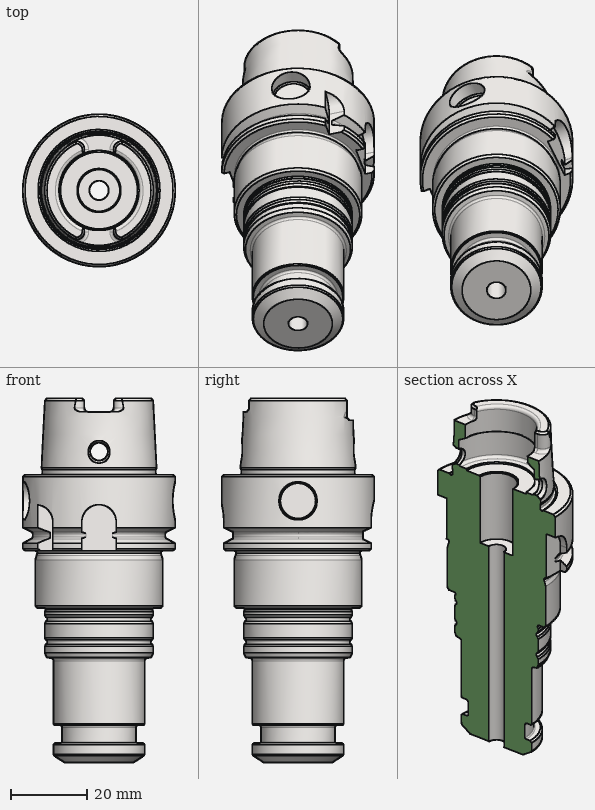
import cadquery as cq
import math


TOTAL_LENGTH = 95.5
SHANK_LENGTH = 20.0
FLANGE_FACE_Z = TOTAL_LENGTH - SHANK_LENGTH
FLANGE_BOTTOM_Z = FLANGE_FACE_Z - 20.0
BODY_BOTTOM_Z = 40.5
SEAL_LAND_BOTTOM_Z = 27.6
NECK_TOP_Z = 10.0
NECK_BOTTOM_Z = 5.2

PILOT_R = 24.0 / 2
NECK_R = 19.5 / 2
LEAD_IN_R = 9.0
LEAD_IN_HEIGHT = 1.75
LEAD_IN_BLEND = 0.5
PILOT_CHAMFER = 0.3
COLLAR_CHAMFER = 0.5
NECK_FILLET = 0.3
PILOT_ROOT_FILLET = 0.6
PILOT_ROOT_STEP = 0.25
SEAL_LAND_R = 28.5 / 2
SEAL_LEAD_HEIGHT = 1.15
SEAL_LEAD_DEPTH = 0.5
SEAL_GROOVE_CENTERS = (31.6, 37.6)
SEAL_GROOVE_HALF = 0.55
SEAL_GROOVE_HALF_OUTER = 1.15
SEAL_GROOVE_EDGE_R = SEAL_LAND_R - 0.3
SEAL_GROOVE_FLOOR_R = SEAL_LAND_R - 0.65
SEAL_LAND_TOP_Z = 39.6

BODY_R = 33.5 / 2
BODY_CHAMFER = 0.6
BODY_TAPER_BOTTOM_Z = 53.2
BODY_TAPER_TOP_Z = 54.4
BODY_TAPER_TOP_R = 32.8 / 2
UNDERCUT_R = 16.2
UNDERCUT_TOP_Z = 54.9

FLANGE_R = 40.0 / 2
FLANGE_CHAMFER = 0.6
GRIP_ROOT_R = 34.8 / 2
GRIP_LOWER_EDGE_Z = 57.5
GRIP_ROOT_BOTTOM_Z = 58.9
GRIP_ROOT_TOP_Z = 60.3
GRIP_UPPER_EDGE_Z = 61.6
GRIP_ROOT_FILLET = 0.6
FACE_RECESS_OUTER_R = 16.0
FACE_RECESS_INNER_R = 15.5
FACE_RECESS_DEPTH = 0.3

SHANK_NECK_R = 29.8 / 2
SHANK_NECK_BOTTOM_Z = FLANGE_FACE_Z + 0.4
SHANK_NECK_TOP_Z = FLANGE_FACE_Z + 1.2
TAPER_BOTTOM_Z = FLANGE_FACE_Z + 1.75
TAPER_SLOPE = 0.05
TAPER_GAUGE_R = 15.0
TAPER_GAUGE_Z = FLANGE_FACE_Z + 4.0
TAPER_TOP_CHAMFER = 0.6
TAPER_TOP_CHAMFER_WIDTH = 0.6

BORE_R = 21.0 / 2
BORE_MOUTH_FILLET = 1.0
BORE_LENGTH = 7.7
CLAMP_R = 25.5 / 2
CLAMP_ANGLE = 60.0
CLAMP_FLOOR_Z = FLANGE_FACE_Z + 3.4
CLAMP_FLOOR_FILLET = 0.8
FLOOR_RECESS_R = 10.07
FLOOR_RECESS_DEPTH = 0.5
THREAD_HOLE_R = 10.92 / 2
THREAD_HOLE_DEPTH = 20.0
THREAD_CHAMFER = 0.3
THROUGH_HOLE_R = 5.0 / 2

END_SLOT_HALF = 3.8
END_SLOT_CORNER_R = 2.1
FRONT_SLOT_DEPTH = 3.55
BACK_SLOT_DEPTH = 5.75
END_SLOT_FLOOR_FILLET = 1.0
END_SLOT_EDGE_CHAMFER = 0.6

CROSS_HOLE_R = 4.6 / 2
CROSS_HOLE_Z = FLANGE_FACE_Z + 6.0
CROSS_SINK_R = 6.0 / 2
CROSS_SINK_DEPTH = 1.2

NOTCH_CENTER_Z = 63.1
FRONT_NOTCH_R = 4.5
BACK_NOTCH_R = 5.6
MAIN_NOTCH_FLOOR = 17.05
CORNER_NOTCH_X = -16.6
CORNER_NOTCH_FLOOR = 11.87
SIDE_HOLE_R = 10.0 / 2
SIDE_HOLE_Z = 68.6
SIDE_HOLE_FLOOR = 16.0
SIDE_HOLE_FLOOR_CHAMFER = 0.4
LEFT_HOLE_ANGLE = 190.0
RIGHT_HOLE_ANGLE = 0.0
CLEAR = 5.0


def taper_radius(z):
    return TAPER_GAUGE_R - TAPER_SLOPE * (z - TAPER_GAUGE_Z)


def add_seal_groove(outline, center_z):
    """Continue an upward outline through one round-bottomed seal groove."""
    return (
        outline
        .lineTo(SEAL_LAND_R, center_z - SEAL_GROOVE_HALF_OUTER)
        .lineTo(SEAL_GROOVE_EDGE_R, center_z - SEAL_GROOVE_HALF)
        .threePointArc((SEAL_GROOVE_FLOOR_R, center_z), (SEAL_GROOVE_EDGE_R, center_z + SEAL_GROOVE_HALF))
        .lineTo(SEAL_LAND_R, center_z + SEAL_GROOVE_HALF_OUTER)
    )


def lower_body():
    """Pilot, retaining groove, seal land and body, up to the flange underside."""
    outline = (
        cq.Workplane("XZ")
        .lineTo(LEAD_IN_R, 0)
        .lineTo(PILOT_R - PILOT_CHAMFER, LEAD_IN_HEIGHT)
        .lineTo(PILOT_R, LEAD_IN_HEIGHT + LEAD_IN_BLEND)
        .lineTo(PILOT_R, NECK_BOTTOM_Z - COLLAR_CHAMFER)
        .lineTo(PILOT_R - COLLAR_CHAMFER, NECK_BOTTOM_Z)
        .lineTo(NECK_R + NECK_FILLET, NECK_BOTTOM_Z)
        .radiusArc((NECK_R, NECK_BOTTOM_Z + NECK_FILLET), NECK_FILLET)
        .lineTo(NECK_R, NECK_TOP_Z - 2 * NECK_FILLET - PILOT_CHAMFER / 2)
        .radiusArc((NECK_R + 2 * NECK_FILLET, NECK_TOP_Z - PILOT_CHAMFER / 2), 2 * NECK_FILLET)
        .lineTo(PILOT_R - PILOT_CHAMFER, NECK_TOP_Z - PILOT_CHAMFER / 2)
        .lineTo(PILOT_R, NECK_TOP_Z + PILOT_CHAMFER / 2)
        .lineTo(PILOT_R, SEAL_LAND_BOTTOM_Z - PILOT_ROOT_FILLET - PILOT_ROOT_STEP)
        .radiusArc((PILOT_R + PILOT_ROOT_FILLET, SEAL_LAND_BOTTOM_Z - PILOT_ROOT_STEP), PILOT_ROOT_FILLET)
        .lineTo(SEAL_LAND_R - SEAL_LEAD_DEPTH, SEAL_LAND_BOTTOM_Z)
        .lineTo(SEAL_LAND_R, SEAL_LAND_BOTTOM_Z + SEAL_LEAD_HEIGHT)
    )
    for center_z in SEAL_GROOVE_CENTERS:
        outline = add_seal_groove(outline, center_z)
    return (
        outline
        .lineTo(SEAL_LAND_R, SEAL_LAND_TOP_Z)
        .lineTo(SEAL_LAND_R - 0.3, BODY_BOTTOM_Z - 0.4)
        .lineTo(SEAL_LAND_R, BODY_BOTTOM_Z)
        .lineTo(BODY_R - BODY_CHAMFER, BODY_BOTTOM_Z)
        .lineTo(BODY_R, BODY_BOTTOM_Z + BODY_CHAMFER)
        .lineTo(BODY_R, BODY_TAPER_BOTTOM_Z)
        .lineTo(BODY_TAPER_TOP_R, BODY_TAPER_TOP_Z)
        .lineTo(UNDERCUT_R, UNDERCUT_TOP_Z)
        .radiusArc((BODY_TAPER_TOP_R + 0.3, FLANGE_BOTTOM_Z), 0.6)
        .lineTo(0, FLANGE_BOTTOM_Z)
        .close()
        .revolve(360, (0, 0, 0), (0, 1, 0))
    )


def flange():
    """Flange disc with its V-shaped gripper groove."""
    disc = (
        cq.Workplane("XY", origin=(0, 0, FLANGE_BOTTOM_Z))
        .circle(FLANGE_R)
        .extrude(FLANGE_FACE_Z - FLANGE_BOTTOM_Z)
        .edges()
        .chamfer(FLANGE_CHAMFER)
    )
    groove = (
        cq.Workplane("XZ")
        .moveTo(FLANGE_R, GRIP_LOWER_EDGE_Z)
        .lineTo(GRIP_ROOT_R, GRIP_ROOT_BOTTOM_Z)
        .lineTo(GRIP_ROOT_R, GRIP_ROOT_TOP_Z)
        .lineTo(FLANGE_R, GRIP_UPPER_EDGE_Z)
        .lineTo(FLANGE_R + CLEAR, GRIP_UPPER_EDGE_Z)
        .lineTo(FLANGE_R + CLEAR, GRIP_LOWER_EDGE_Z)
        .close()
        .revolve(360, (0, 0, 0), (0, 1, 0))
        .edges(cq.selectors.RadiusNthSelector(0))
        .fillet(GRIP_ROOT_FILLET)
    )
    recess = (
        cq.Workplane("XZ")
        .moveTo(0, FLANGE_FACE_Z)
        .lineTo(FACE_RECESS_OUTER_R, FLANGE_FACE_Z)
        .lineTo(FACE_RECESS_INNER_R, FLANGE_FACE_Z - FACE_RECESS_DEPTH)
        .lineTo(0, FLANGE_FACE_Z - FACE_RECESS_DEPTH)
        .close()
        .revolve(360, (0, 0, 0), (0, 1, 0))
    )
    return disc.cut(groove).cut(recess)


def shank():
    """Outer shape of the short taper above the flange."""
    base_z = FLANGE_FACE_Z - FACE_RECESS_DEPTH
    chamfer_z = TOTAL_LENGTH - TAPER_TOP_CHAMFER
    return (
        cq.Workplane("XZ")
        .moveTo(0, base_z)
        .lineTo(FACE_RECESS_INNER_R, base_z)
        .radiusArc((SHANK_NECK_R, SHANK_NECK_BOTTOM_Z), FACE_RECESS_DEPTH + 0.4)
        .lineTo(SHANK_NECK_R, SHANK_NECK_TOP_Z)
        .lineTo(taper_radius(TAPER_BOTTOM_Z), TAPER_BOTTOM_Z)
        .lineTo(taper_radius(chamfer_z), chamfer_z)
        .lineTo(taper_radius(chamfer_z) - TAPER_TOP_CHAMFER_WIDTH, TOTAL_LENGTH)
        .lineTo(0, TOTAL_LENGTH)
        .close()
        .revolve(360, (0, 0, 0), (0, 1, 0))
    )


def interior():
    """Clamping bore, floor recess, threaded hole and the axial through hole."""
    bore_end_z = TOTAL_LENGTH - BORE_LENGTH
    clamp_z = bore_end_z - (CLAMP_R - BORE_R) / math.tan(math.radians(CLAMP_ANGLE))
    recess_z = CLAMP_FLOOR_Z - FLOOR_RECESS_DEPTH
    thread_end_z = recess_z - THREAD_HOLE_DEPTH
    return (
        cq.Workplane("XZ")
        .lineTo(THROUGH_HOLE_R, 0)
        .lineTo(THROUGH_HOLE_R, thread_end_z)
        .lineTo(THREAD_HOLE_R, thread_end_z)
        .lineTo(THREAD_HOLE_R, recess_z - THREAD_CHAMFER)
        .lineTo(THREAD_HOLE_R + THREAD_CHAMFER, recess_z)
        .lineTo(FLOOR_RECESS_R, recess_z)
        .lineTo(FLOOR_RECESS_R, CLAMP_FLOOR_Z)
        .lineTo(CLAMP_R - CLAMP_FLOOR_FILLET, CLAMP_FLOOR_Z)
        .radiusArc((CLAMP_R, CLAMP_FLOOR_Z + CLAMP_FLOOR_FILLET), -CLAMP_FLOOR_FILLET)
        .lineTo(CLAMP_R, clamp_z)
        .lineTo(BORE_R, bore_end_z)
        .lineTo(BORE_R, TOTAL_LENGTH - BORE_MOUTH_FILLET)
        .radiusArc((BORE_R + BORE_MOUTH_FILLET, TOTAL_LENGTH), BORE_MOUTH_FILLET)
        .lineTo(0, TOTAL_LENGTH)
        .close()
        .revolve(360, (0, 0, 0), (0, 1, 0))
    )


def end_slot_outline(level_z):
    """Slot plan at one level: straight walls whose outer corners are rounded off."""
    rim_r = taper_radius(TOTAL_LENGTH - FRONT_SLOT_DEPTH)
    center_x = END_SLOT_HALF + END_SLOT_CORNER_R
    center_r = rim_r - END_SLOT_CORNER_R
    center_y = math.sqrt(center_r ** 2 - center_x ** 2)
    end_angle = math.atan2(center_y, center_x)
    mid_angle = (end_angle + math.pi) / 2
    end_x = rim_r * math.cos(end_angle)
    end_y = rim_r * math.sin(end_angle)
    mid_x = center_x + END_SLOT_CORNER_R * math.cos(mid_angle)
    mid_y = center_y + END_SLOT_CORNER_R * math.sin(mid_angle)
    far_x = end_x + CLEAR * math.sin(end_angle)
    far_y = end_y - CLEAR * math.cos(end_angle)
    outer_y = rim_r + CLEAR
    inner_y = BORE_R - CLEAR
    return (
        cq.Workplane("XY", origin=(0, 0, level_z))
        .moveTo(END_SLOT_HALF, inner_y)
        .lineTo(END_SLOT_HALF, center_y)
        .threePointArc((mid_x, mid_y), (end_x, end_y))
        .lineTo(far_x, far_y)
        .lineTo(far_x, outer_y)
        .lineTo(-far_x, outer_y)
        .lineTo(-far_x, far_y)
        .lineTo(-end_x, end_y)
        .threePointArc((-mid_x, mid_y), (-END_SLOT_HALF, center_y))
        .lineTo(-END_SLOT_HALF, inner_y)
        .close()
    )


def end_slot(depth, angle):
    """Cutter for one drive slot, turned about Z by an angle from the +Y side."""
    floor_z = TOTAL_LENGTH - depth
    slot = (
        end_slot_outline(floor_z)
        .extrude(depth + CLEAR)
        .faces("<Z")
        .edges()
        .fillet(END_SLOT_FLOOR_FILLET)
    )
    edge_chamfer = (
        end_slot_outline(TOTAL_LENGTH)
        .offset2D(END_SLOT_EDGE_CHAMFER)
        .extrude(-END_SLOT_EDGE_CHAMFER, taper=45)
    )
    return slot.union(edge_chamfer).rotate((0, 0, 0), (0, 0, 1), angle)


def cross_hole():
    """Radial hole through both shank walls, countersunk on the outside."""
    wall_r = taper_radius(CROSS_HOLE_Z)
    half_profile = (
        cq.Workplane("XY")
        .lineTo(CROSS_HOLE_R, 0)
        .lineTo(CROSS_HOLE_R, wall_r - CROSS_SINK_DEPTH)
        .lineTo(CROSS_SINK_R, wall_r)
        .lineTo(CROSS_SINK_R, wall_r + CLEAR)
        .lineTo(0, wall_r + CLEAR)
        .close()
        .revolve(360, (0, 0, 0), (0, 1, 0))
    )
    return half_profile.union(half_profile.mirror("XZ")).translate((0, 0, CROSS_HOLE_Z))


def flange_notch(center_x, radius, floor, side):
    """Round-topped notch milled along Y and open at the flange underside."""
    bottom_z = FLANGE_BOTTOM_Z - FLANGE_CHAMFER
    length = FLANGE_R + CLEAR - floor
    start_y = floor if side > 0 else -floor - length
    return (
        cq.Workplane("XZ", origin=(0, start_y, 0))
        .moveTo(center_x - radius, bottom_z)
        .lineTo(center_x - radius, NOTCH_CENTER_Z)
        .threePointArc((center_x, NOTCH_CENTER_Z + radius), (center_x + radius, NOTCH_CENTER_Z))
        .lineTo(center_x + radius, bottom_z)
        .close()
        .extrude(-length)
    )


def side_hole(angle):
    """Flat-bottomed radial hole in the flange at an angle about Z from +X."""
    return (
        cq.Workplane("YZ", origin=(SIDE_HOLE_FLOOR, 0, SIDE_HOLE_Z))
        .circle(SIDE_HOLE_R)
        .extrude(FLANGE_R + CLEAR - SIDE_HOLE_FLOOR)
        .faces("<X")
        .chamfer(SIDE_HOLE_FLOOR_CHAMFER)
        .rotate((0, 0, 0), (0, 0, 1), angle)
    )


result = lower_body().union(flange()).union(shank()).cut(interior())
result = result.cut(end_slot(FRONT_SLOT_DEPTH, 180)).cut(end_slot(BACK_SLOT_DEPTH, 0))
result = result.cut(cross_hole())
result = result.cut(flange_notch(0, FRONT_NOTCH_R, MAIN_NOTCH_FLOOR, -1))
result = result.cut(flange_notch(0, BACK_NOTCH_R, MAIN_NOTCH_FLOOR, 1))
result = result.cut(flange_notch(CORNER_NOTCH_X, FRONT_NOTCH_R, CORNER_NOTCH_FLOOR, -1))
for hole_angle in (LEFT_HOLE_ANGLE, RIGHT_HOLE_ANGLE):
    result = result.cut(side_hole(hole_angle))